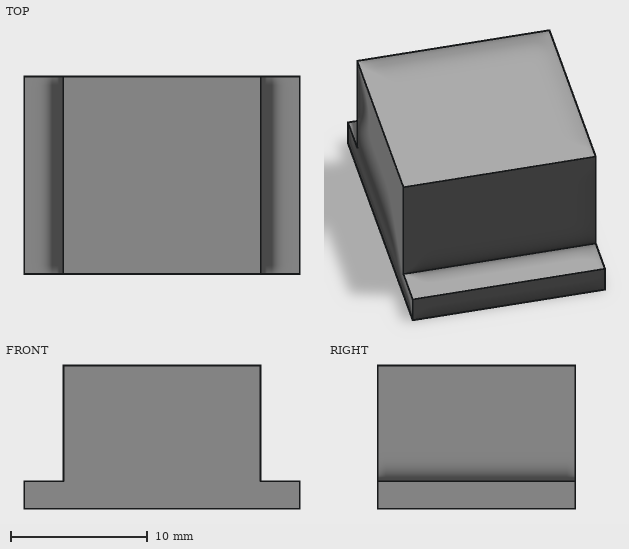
import cadquery as cq

length = 20.2
depth = 14.48
height = 10.5

block_length = 14.42
plate_thickness = 2.05

on_bottom = (True, True, False)
plate = cq.Workplane("XY").box(length, depth, plate_thickness, centered=on_bottom)
block = cq.Workplane("XY").box(block_length, depth, height, centered=on_bottom)

result = plate.union(block).clean()